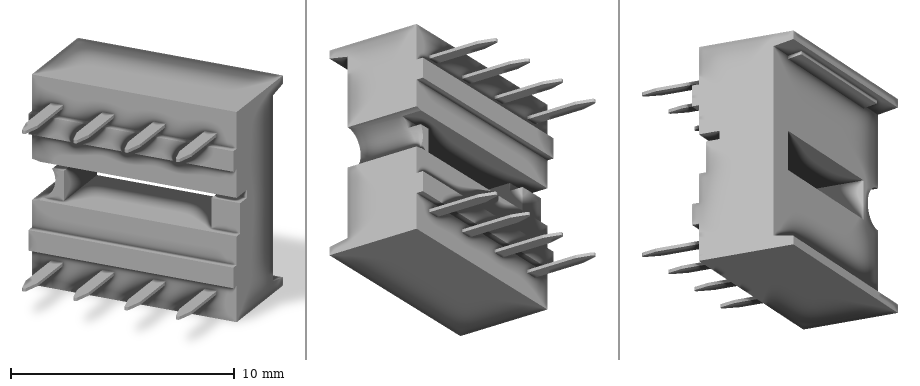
import cadquery as cq
import math


LENGTH = 10.16
HEIGHT = 10.16
BODY_DEPTH = 3.76

WINDOW_HEIGHT = 1.86
BRIDGE_WIDTH = 1.42
BRIDGE_SETBACK = 0.36
STEP_SETBACK = 1.05
STEP_Z = 0.54

NOTCH_RADIUS = 1.0

RIB_HEIGHT = 0.35
RIB_WIDTH = 1.0
RIB_CENTER_Z = 2.81

LIP_DEPTH = 1.0
LIP_EDGE_THICKNESS = 0.41
LIP_SLOPE_ANGLE = 10.0

PAD_DEPTH = 0.67
PAD_THICKNESS = 0.15
PAD_LENGTH = LENGTH - 2 * BRIDGE_WIDTH

PINS_PER_ROW = 4
PIN_PITCH = 2.54
ROW_SPACING = 7.62
PIN_LENGTH = 3.5
PIN_WIDTH = 0.6
PIN_THICKNESS = 0.15
PIN_TAPER_LENGTH = 0.84
PIN_TIP_WIDTH = 0.16
PIN_TIP_RADIUS = 0.1


def block(x_range, y_range, z_range):
    """Axis-aligned block between the given limits."""
    sizes = [high - low for low, high in (x_range, y_range, z_range)]
    corner = (x_range[0], y_range[0], z_range[0])
    return cq.Workplane("XY").box(*sizes, centered=False).translate(corner)


def extrude_along_x(points, length):
    """Extrude a closed (y, z) outline evenly to both sides of X = 0."""
    return cq.Workplane("YZ").polyline(points).close().extrude(length / 2, both=True)


def with_mirror(shape):
    """The shape joined with its mirror image below Z = 0."""
    return shape.union(shape.mirror("XY"))


def make_body():
    """Rectangular body with the window, the stepped bridges and the notch."""
    body = block((-LENGTH / 2, LENGTH / 2), (0, BODY_DEPTH), (-HEIGHT / 2, HEIGHT / 2))

    half_window = WINDOW_HEIGHT / 2
    window_end = LENGTH / 2 - BRIDGE_WIDTH
    window = block((-window_end, window_end), (0, BODY_DEPTH), (-half_window, half_window))
    setback = block((-LENGTH / 2, LENGTH / 2), (0, BRIDGE_SETBACK), (-half_window, half_window))
    step = block((-LENGTH / 2, LENGTH / 2), (0, STEP_SETBACK), (STEP_Z, half_window))
    notch = (
        cq.Workplane("XZ")
        .center(-LENGTH / 2, 0)
        .circle(NOTCH_RADIUS)
        .extrude(-BODY_DEPTH)
    )
    return body.cut(window).cut(setback).cut(step).cut(notch)


def make_rib():
    """Upper standoff rib across the full length of the front face."""
    rib_z = (RIB_CENTER_Z - RIB_WIDTH / 2, RIB_CENTER_Z + RIB_WIDTH / 2)
    return block((-LENGTH / 2, LENGTH / 2), (-RIB_HEIGHT, 0), rib_z)


def make_lip():
    """Upper lip, thicker at its root, with the pad on its sloped face."""
    slope = math.tan(math.radians(LIP_SLOPE_ANGLE))
    root_y = BODY_DEPTH
    edge_y = root_y + LIP_DEPTH
    pad_y = root_y + PAD_DEPTH
    top_z = HEIGHT / 2
    edge_z = top_z - LIP_EDGE_THICKNESS
    root_z = edge_z - LIP_DEPTH * slope
    pad_z = edge_z - (LIP_DEPTH - PAD_DEPTH) * slope

    lip = extrude_along_x(
        [(root_y, top_z), (edge_y, top_z), (edge_y, edge_z), (root_y, root_z)],
        LENGTH,
    )
    pad = extrude_along_x(
        [
            (root_y, root_z),
            (pad_y, pad_z),
            (pad_y, pad_z - PAD_THICKNESS),
            (root_y, root_z - PAD_THICKNESS),
        ],
        PAD_LENGTH,
    )
    return lip.union(pad)


def make_pin():
    """Flat pin with a tapered, rounded tip, centered on X = 0 and Z = 0."""
    shoulder_y = PIN_TAPER_LENGTH - PIN_LENGTH
    outline = [
        (-PIN_WIDTH / 2, 0),
        (-PIN_WIDTH / 2, shoulder_y),
        (-PIN_TIP_WIDTH / 2, -PIN_LENGTH),
        (PIN_TIP_WIDTH / 2, -PIN_LENGTH),
        (PIN_WIDTH / 2, shoulder_y),
        (PIN_WIDTH / 2, 0),
    ]
    pin = cq.Workplane("XY").polyline(outline).close().extrude(PIN_THICKNESS / 2, both=True)
    tip_corners = pin.faces("<Y").edges("|Z")
    return tip_corners.fillet(PIN_TIP_RADIUS)


result = make_body().union(with_mirror(make_rib())).union(with_mirror(make_lip()))

pin = make_pin()
first_pin_x = -PIN_PITCH * (PINS_PER_ROW - 1) / 2
for row_z in (-ROW_SPACING / 2, ROW_SPACING / 2):
    for index in range(PINS_PER_ROW):
        pin_x = first_pin_x + index * PIN_PITCH
        result = result.union(pin.translate((pin_x, 0, row_z)))